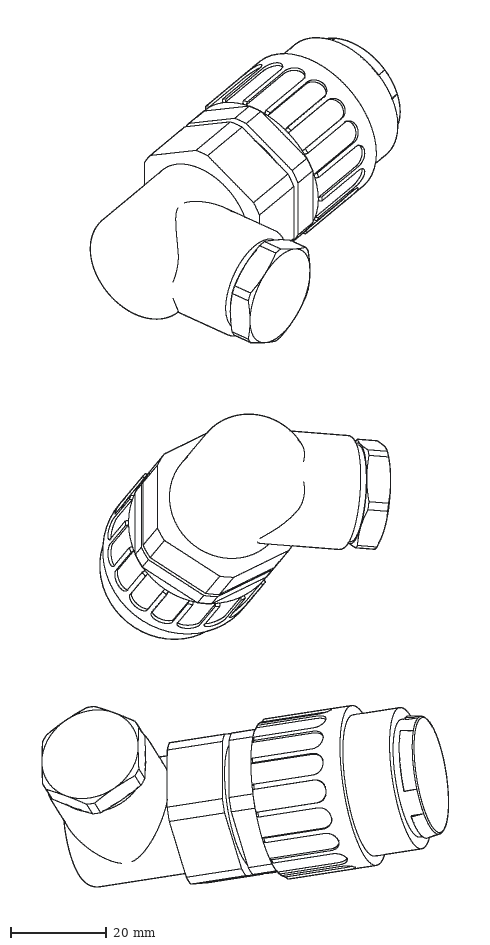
import cadquery as cq
import math

LENGTH = 77.7
WIDTH = 46.55

elbow_dia = 25.0
elbow_fillet = 2.95
outlet_dia = 24.0
outlet_end = 22.9
outlet_edge_round = 0.9
outlet_axis_y = outlet_dia / 2
elbow_top = outlet_dia

cable_neck_dia = 20.4
cable_nut_start = 24.4
cable_nut_flats = 21.15
cable_nut_corner_dia = 23.5
cable_nut_bevel = 0.5

nut_start = 24.4
nut_end = 36.5
ring_start = 38.0
sleeve_start = 43.2
sleeve_end = 62.95
collar_end = 73.2
barb_start = 74.7

nut_flats = 30.0
nut_corner_dia = 33.0
elbow_neck_dia = 23.0
nut_neck_dia = 27.0
sleeve_dia = 34.0
sleeve_bevel = 0.55
collar_dia = 30.0
plug_dia = 25.0
plug_bevel = 0.3

cable_nut_end = WIDTH - sleeve_dia / 2

groove_count = 18
groove_width = 4.8
groove_depth = 0.55
groove_end = 59.15
groove_end_depth = 0.7
groove_dip_start = 56.6

barb_count = 4
barb_dia = 25.95
barb_gap_angle = 27.0
first_gap_angle = 34.0

Y_AXIS = ((0, 0, 0), (0, 1, 0))


def section_plane(y):
    """Plane across the main axis, with X to the right and Z up."""
    return cq.Workplane("XZ", origin=(0, y, 0))


def rod(dia, start, end):
    """Round bar along the main axis."""
    return section_plane(start).circle(dia / 2).extrude(start - end)


def hexagon(plane, flats, length):
    """Hexagon prism with two corners on the plane's local Y axis."""
    corner_circle = flats / math.cos(math.pi / 6)
    return plane.transformed(rotate=(0, 0, 90)).polygon(6, corner_circle).extrude(length)


def main_hexagon(start, end):
    """Hexagon on the main axis, flats facing +X and -X, corners rounded."""
    prism = hexagon(section_plane(start), nut_flats, start - end)
    return prism.intersect(rod(nut_corner_dia, start, end))


def make_elbow():
    """Closed elbow with its round side outlet and the neck of the cable nut."""
    body = rod(elbow_dia, 0, elbow_top).faces("<Y").edges().fillet(elbow_fillet)
    axis_plane = cq.Workplane("YZ", origin=(0, outlet_axis_y, 0))
    outlet = axis_plane.circle(outlet_dia / 2).extrude(outlet_end)
    outlet = outlet.faces(">X").edges().fillet(outlet_edge_round)
    neck = axis_plane.circle(cable_neck_dia / 2).extrude(cable_nut_start)
    return body.union(outlet).union(neck)


def make_cable_nut():
    """Hexagon nut whose corners are rounded and bevelled down to the flats at both ends."""
    plane = cq.Workplane("YZ", origin=(cable_nut_start, outlet_axis_y, 0))
    length = cable_nut_end - cable_nut_start
    bevel_radial = (cable_nut_corner_dia - cable_nut_flats) / 2
    envelope = plane.circle(cable_nut_corner_dia / 2).extrude(length)
    envelope = envelope.faces("<X").edges().chamfer(cable_nut_bevel, bevel_radial)
    envelope = envelope.faces(">X").edges().chamfer(cable_nut_bevel, bevel_radial)
    return hexagon(plane, cable_nut_flats, length).intersect(envelope)


def make_groove_floor():
    """Core left under the grooves, dipping slightly deeper towards their round ends."""
    floor_radius = sleeve_dia / 2 - groove_depth
    dip_radius = sleeve_dia / 2 - groove_end_depth
    return (
        cq.Workplane("XY")
        .moveTo(0, sleeve_start)
        .lineTo(floor_radius, sleeve_start)
        .lineTo(floor_radius, groove_dip_start)
        .lineTo(dip_radius, groove_end)
        .lineTo(0, groove_end)
        .close()
        .revolve(360, *Y_AXIS)
    )


def make_sleeve():
    """Coupling sleeve with finger grooves open at the nut side."""
    sleeve = rod(sleeve_dia, sleeve_start, sleeve_end).faces("<Y").edges().chamfer(sleeve_bevel)
    half_width = groove_width / 2
    floor = make_groove_floor()
    groove = (
        cq.Workplane("XY")
        .moveTo(-half_width, sleeve_start)
        .lineTo(half_width, sleeve_start)
        .lineTo(half_width, groove_end - half_width)
        .threePointArc((0, groove_end), (-half_width, groove_end - half_width))
        .close()
        .extrude(sleeve_dia)
        .cut(floor)
    )
    for index in range(groove_count):
        sleeve = sleeve.cut(groove.rotate(*Y_AXIS, index * 360 / groove_count))
    return sleeve


def make_plug():
    """Plug end with a ring of snap barbs that taper towards the tip."""
    plug = rod(plug_dia, collar_end, LENGTH).faces(">Y").edges().chamfer(plug_bevel)
    barb_angle = 360 / barb_count - barb_gap_angle
    profile = (
        cq.Workplane("XY")
        .moveTo(0, barb_start)
        .lineTo(barb_dia / 2, barb_start)
        .lineTo(plug_dia / 2, LENGTH - plug_bevel)
        .lineTo(0, LENGTH - plug_bevel)
        .close()
    )
    barb = profile.revolve(barb_angle, *Y_AXIS)
    for index in range(barb_count):
        turn = -first_gap_angle + barb_gap_angle / 2 + index * 360 / barb_count
        plug = plug.union(barb.rotate(*Y_AXIS, turn))
    return plug


result = (
    make_elbow()
    .union(make_cable_nut())
    .union(rod(elbow_neck_dia, elbow_top, nut_start))
    .union(main_hexagon(nut_start, nut_end))
    .union(rod(nut_neck_dia, nut_end, ring_start))
    .union(main_hexagon(ring_start, sleeve_start))
    .union(make_sleeve())
    .union(rod(collar_dia, sleeve_end, collar_end))
    .union(make_plug())
)